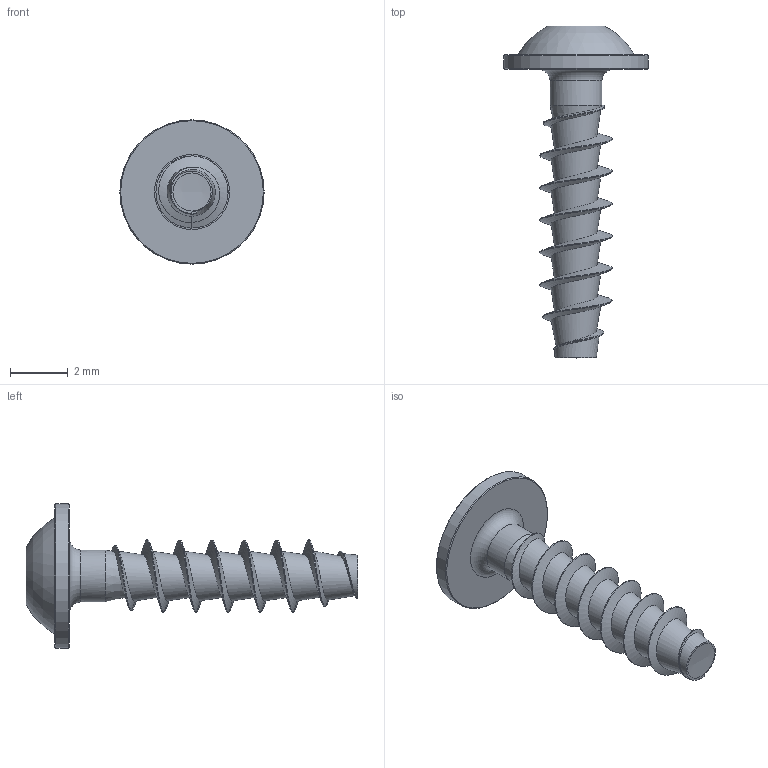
import math

import cadquery as cq


flange_radius = 2.5
flange_thickness = 0.5
flange_edge_chamfer = 0.03
head_height = 1.5
dome_base_radius = 2.02
dome_top_radius = 0.97

shank_radius = 0.9
neck_fillet = 0.4
shank_end_y = -1.25
tip_y = -10.0
tip_dish_radius = 0.66
tip_dish_depth = 0.03

pitch = 1.12
turns = 9
points_per_turn = 24
thread_radius = 1.25
start_crest_radius = 0.88
crest_flat = 0.03
head_flank = 0.14
tip_flank = 0.125
root_high_radius = 0.865
root_low_radius = 0.735
buried_radius = 0.4
core_radius = 0.6
first_crest_y = -1.02
start_angle = -math.pi / 2

crest_full_y = -2.42
rise_exponent = 0.75
fade_start_y = -8.3
fade_end_y = -9.7
fade_end_radius = 0.765
root_drop_start_y = -8.6
root_drop = 0.12
thinnest_flank = 0.08


def ramp(y, y_start, y_end):
    """Fraction from 0 to 1 of the way from y_start to y_end, held at the ends."""
    return min(1.0, max(0.0, (y - y_start) / (y_end - y_start)))


def root_high(y):
    return root_high_radius - root_drop * ramp(y, root_drop_start_y, fade_end_y)


def root_low(y):
    return root_low_radius - root_drop / 2 * ramp(y, root_drop_start_y, fade_end_y)


def crest(y):
    rise = (thread_radius - start_crest_radius) * ramp(y, first_crest_y, crest_full_y) ** rise_exponent
    fade = (thread_radius - fade_end_radius) * ramp(y, fade_start_y, fade_end_y)
    return start_crest_radius + rise - fade


def buried(y):
    return buried_radius


def flank_scale(y):
    """Flank width relative to the full ridge: a lower ridge is also thinner."""
    height = (crest(y) - root_high(y)) / (thread_radius - root_high_radius)
    return max(thinnest_flank, height)


inner_line = (crest_flat / 2, head_flank, buried)
ridge_lines = [
    (crest_flat / 2, head_flank, root_low),
    (crest_flat / 2, 0, crest),
    (-crest_flat / 2, 0, crest),
    (-crest_flat / 2, -tip_flank, root_high),
]


def helix_point(line, turn):
    """Point on a helical line after a (fractional) number of turns."""
    flat_offset, flank_offset, radius_rule = line
    crest_y = first_crest_y - pitch * turn
    offset = flat_offset + flank_offset * flank_scale(crest_y)
    radius = radius_rule(crest_y)
    angle = start_angle + 2 * math.pi * turn
    return cq.Vector(radius * math.cos(angle), crest_y + offset, radius * math.sin(angle))


def helix_edge(line, turn):
    """One full turn of a helical line."""
    steps = range(points_per_turn + 1)
    return cq.Edge.makeSpline([helix_point(line, turn + step / points_per_turn) for step in steps])


def profile_face(turn):
    """Radial section of one turn, closing the thread body at either end."""
    corners = [helix_point(inner_line, turn)]
    corners += [helix_point(line, turn) for line in ridge_lines]
    corners += [helix_point(ridge_lines[0], turn + 1), helix_point(inner_line, turn + 1)]
    return cq.Face.makeFromWires(cq.Wire.makePolygon(corners, close=True))


def make_thread():
    """Helical body made of ruled faces between neighbouring helical lines."""
    ruled = cq.Face.makeRuledSurface
    inner_edges = [helix_edge(inner_line, turn) for turn in range(turns + 1)]
    low_edges = [helix_edge(ridge_lines[0], turn) for turn in range(turns + 1)]
    faces = [profile_face(0), profile_face(turns)]
    faces += [ruled(inner_edges[turn], low_edges[turn]) for turn in (0, turns)]
    for turn in range(turns):
        outline = [low_edges[turn]]
        outline += [helix_edge(line, turn) for line in ridge_lines[1:]]
        outline += [low_edges[turn + 1]]
        faces += [ruled(first, second) for first, second in zip(outline, outline[1:])]
        faces.append(ruled(inner_edges[turn], inner_edges[turn + 1]))
    body = cq.Solid.makeSolid(cq.Shell.makeShell(faces))
    return cq.Workplane(body.fix())


def make_blank():
    """Head, filleted shank, cone into the thread root and plain core, as one revolution."""
    dome_height = head_height - flange_thickness
    rim_difference = dome_base_radius**2 - dome_top_radius**2
    centre_y = flange_thickness + (dome_height**2 - rim_difference) / (2 * dome_height)
    sphere_radius = math.hypot(dome_top_radius, head_height - centre_y)
    middle_y = (head_height + flange_thickness) / 2
    dome_middle = (math.sqrt(sphere_radius**2 - (middle_y - centre_y) ** 2), middle_y)

    fillet_inset = neck_fillet * (1 - math.sqrt(0.5))
    fillet_middle = (shank_radius + fillet_inset, -fillet_inset)
    neck_cone_end_y = helix_point(ridge_lines[0], 1).y
    flange_face_radius = flange_radius - flange_edge_chamfer
    return (
        cq.Workplane("XY")
        .moveTo(0, head_height)
        .lineTo(dome_top_radius, head_height)
        .threePointArc(dome_middle, (dome_base_radius, flange_thickness))
        .lineTo(flange_face_radius, flange_thickness)
        .lineTo(flange_radius, flange_thickness - flange_edge_chamfer)
        .lineTo(flange_radius, flange_edge_chamfer)
        .lineTo(flange_face_radius, 0)
        .lineTo(shank_radius + neck_fillet, 0)
        .threePointArc(fillet_middle, (shank_radius, -neck_fillet))
        .lineTo(shank_radius, shank_end_y)
        .lineTo(root_low_radius, neck_cone_end_y)
        .lineTo(core_radius, neck_cone_end_y)
        .lineTo(core_radius, tip_y)
        .lineTo(0, tip_y)
        .close()
        .revolve(360, (0, 0, 0), (0, 1, 0))
    )


def make_tip_cutter():
    """Block that removes everything beyond the flat tip."""
    size = 2 * flange_radius
    return cq.Workplane("XY").box(size, size, size).translate((0, tip_y - size / 2, 0))


def make_tip_dish():
    """Very shallow spherical hollow in the tip face."""
    sphere_radius = (tip_dish_radius**2 + tip_dish_depth**2) / (2 * tip_dish_depth)
    centre_y = tip_y + tip_dish_depth - sphere_radius
    return cq.Workplane("XY").sphere(sphere_radius).translate((0, centre_y, 0))


thread = make_thread().cut(make_tip_cutter())
result = make_blank().union(thread).cut(make_tip_dish())